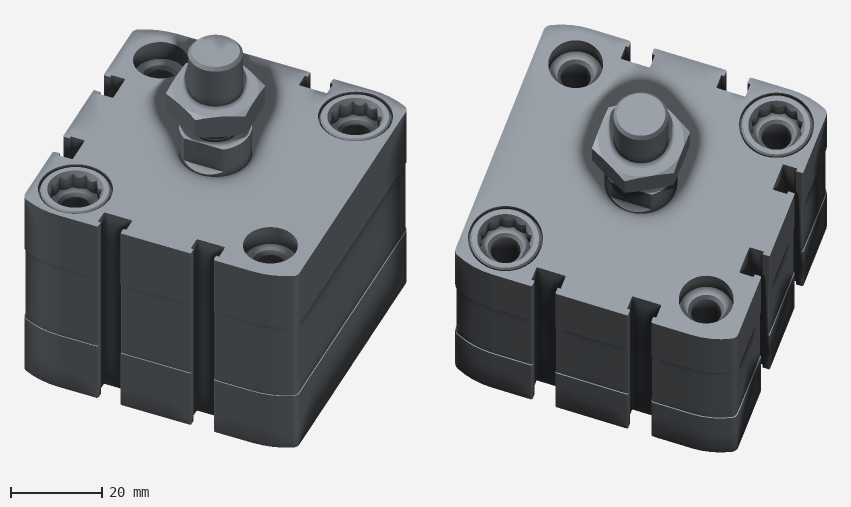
import cadquery as cq
import math

WIDTH = 65.5
CAP_HEIGHT = 15.0
BARREL_HEIGHT = 20.0
BARREL_INSET = 0.2
HOUSING_HEIGHT = 2 * CAP_HEIGHT + BARREL_HEIGHT
TOP_HEIGHT = 79.7

HALF_WIDTH = WIDTH / 2
CORNER_CENTRE_X = 23.2
CORNER_RADIUS = 19.1
CORNER_CENTRE_Y = HALF_WIDTH - CORNER_RADIUS
EDGE_RADIUS = 1.75

SLOT_POSITION = 11.1
SLOT_DEPTH = 4.95
SLOT_WIDTH = 6.8
LIP_DEPTH = 1.6
MOUTH_WIDTH = 5.35
OUTER_MOUTH_ROUND = 0.5
INNER_MOUTH_ROUND = 0.2
SLOT_FLOOR_RADIUS = 0.2

HOLE_POSITION = 23.3
HOLE_DIAMETER = 6.6
HOLE_CHAMFER_DIAMETER = 8
COUNTERBORE_DIAMETER = 12.0
COUNTERBORE_DEPTH = 4.9
COUNTERBORE_CHAMFER_DEPTH = 0.9

GROOVE_OUTER_DIAMETER = 16.4
GROOVE_INNER_DIAMETER = 15.5
GROOVE_DEPTH = 1.6
HEAD_FACE_DIAMETER = 14.7
SOCKET_DEPTH = 4.5
SOCKET_CHAMFER_DEPTH = 0.7
SOCKET_ACROSS_FLATS = 10.1
SOCKET_BORE_DIAMETER = 10.7
SOCKET_MOUTH_DIAMETER = 12.35
SOCKET_MOUTH_HALF_ANGLE = 30

THREAD_DIAMETER = 12.0
TIP_DIAMETER = 10.7
TIP_CHAMFER_HEIGHT = 0.8
SHANK_DIAMETER = 16.0
SHANK_HEIGHT = 7.8
COLLAR_DIAMETER = 10.7
COLLAR_TOP = 8.45
NECK_DIAMETER = 10.2
NECK_TOP = 9.25
TAPER_TOP = 11.8
ROD_HEIGHT = TOP_HEIGHT - HOUSING_HEIGHT
SHANK_ACROSS_FLATS = 13.0
FLAT_BOTTOM = 1.35
FLAT_RUNOUT_BOTTOM = 0.5

NUT_BOTTOM = 12.8
NUT_HEIGHT = 6.0
NUT_ACROSS_FLATS = 19.0
NUT_FACE_DIAMETER = 18.9
NUT_CHAMFER_HEIGHT = 0.5


def hexagon(across_flats, height, turn=0):
    """Hexagonal prism on Z = 0, with a corner on the X axis before turning."""
    prism = cq.Workplane("XY").polygon(6, across_flats / math.cos(math.pi / 6)).extrude(height)
    return prism.rotate((0, 0, 0), (0, 0, 1), turn)


def revolved(points):
    """Solid of revolution about Z from (radius, height) points."""
    return cq.Workplane("XZ").polyline(points).close().revolve(360, (0, 0), (0, 1))


def corner_block(inset, height):
    """Footprint prism: straight sides joined by a large arc and a small blend at each corner."""
    half = HALF_WIDTH - inset
    arc_radius = CORNER_RADIUS - inset
    blend_radius = EDGE_RADIUS - inset
    blend_x = HALF_WIDTH - EDGE_RADIUS
    centre_gap = CORNER_RADIUS - EDGE_RADIUS
    normal = math.acos((blend_x - CORNER_CENTRE_X) / centre_gap)
    blend_y = CORNER_CENTRE_Y + centre_gap * math.sin(normal)
    arc_middle = (normal + math.pi / 2) / 2

    def on_arc(angle):
        return (
            CORNER_CENTRE_X + arc_radius * math.cos(angle),
            CORNER_CENTRE_Y + arc_radius * math.sin(angle),
        )

    def on_blend(angle):
        return (blend_x + blend_radius * math.cos(angle), blend_y + blend_radius * math.sin(angle))

    quarter = (
        cq.Workplane("XY")
        .lineTo(half, 0)
        .lineTo(*on_blend(0))
        .threePointArc(on_blend(normal / 2), on_blend(normal))
        .threePointArc(on_arc(arc_middle), on_arc(math.pi / 2))
        .lineTo(0, half)
        .close()
        .extrude(height)
    )
    right_half = quarter.union(quarter.mirror("XZ"))
    return right_half.union(right_half.mirror("YZ")).clean()


def slot_cutter(inset, height):
    """T-slot open to the +Y side, on the +X side of the centre."""
    face = HALF_WIDTH - inset
    lip = HALF_WIDTH - LIP_DEPTH
    floor = HALF_WIDTH - SLOT_DEPTH
    inner_mouth = SLOT_POSITION - MOUTH_WIDTH / 2
    outer_mouth = SLOT_POSITION + MOUTH_WIDTH / 2
    mid_arc = 1 - math.cos(math.pi / 4)
    inner_sag = INNER_MOUTH_ROUND * mid_arc
    outer_sag = OUTER_MOUTH_ROUND * mid_arc
    mouth = (
        cq.Workplane("XY")
        .moveTo(inner_mouth - INNER_MOUTH_ROUND, face)
        .threePointArc(
            (inner_mouth - inner_sag, face - inner_sag),
            (inner_mouth, face - INNER_MOUTH_ROUND),
        )
        .lineTo(inner_mouth, lip)
        .lineTo(outer_mouth, lip)
        .lineTo(outer_mouth, face - OUTER_MOUTH_ROUND)
        .threePointArc(
            (outer_mouth + outer_sag, face - outer_sag),
            (outer_mouth + OUTER_MOUTH_ROUND, face),
        )
        .close()
        .extrude(height)
    )
    channel = (
        cq.Workplane("XY")
        .moveTo(SLOT_POSITION, (lip + floor) / 2)
        .rect(SLOT_WIDTH, lip - floor)
        .extrude(height)
        .edges("|Z and <Y")
        .fillet(SLOT_FLOOR_RADIUS)
    )
    return mouth.union(channel)


def housing_section(bottom, height, inset):
    """One cap or barrel, with two slots on each of the -X, -Y and +Y sides."""
    section = corner_block(inset, height)
    slot = slot_cutter(inset, height)
    slot_pair = slot.union(slot.mirror("YZ"))
    for turn in (0, 90, 180):
        section = section.cut(slot_pair.rotate((0, 0, 0), (0, 0, 1), turn))
    return section.translate((0, 0, bottom))


def chamfered_hole(floor_depth, chamfer_depth):
    """Through hole with its chamfer starting at the given depth below the top face."""
    radius = HOLE_DIAMETER / 2
    chamfer_radius = HOLE_CHAMFER_DIAMETER / 2
    chamfer_bottom = -floor_depth - chamfer_depth
    return revolved(
        [
            (0, -HOUSING_HEIGHT),
            (radius, -HOUSING_HEIGHT),
            (radius, chamfer_bottom),
            (chamfer_radius, -floor_depth),
            (0, -floor_depth),
        ]
    )


def counterbored_hole():
    """Plain corner hole, measured down from Z = 0."""
    counterbore = cq.Workplane("XY").circle(COUNTERBORE_DIAMETER / 2).extrude(-COUNTERBORE_DEPTH)
    return counterbore.union(chamfered_hole(COUNTERBORE_DEPTH, COUNTERBORE_CHAMFER_DEPTH))


def socket_hole():
    """Hole in a flush screw-head shape: edge groove, lead-in cone and twelve-point socket."""
    head_chamfer = (GROOVE_INNER_DIAMETER - HEAD_FACE_DIAMETER) / 2
    groove = revolved(
        [
            (HEAD_FACE_DIAMETER / 2, 0),
            (GROOVE_INNER_DIAMETER / 2, -head_chamfer),
            (GROOVE_INNER_DIAMETER / 2, -GROOVE_DEPTH),
            (GROOVE_OUTER_DIAMETER / 2, -GROOVE_DEPTH),
            (GROOVE_OUTER_DIAMETER / 2, 0),
        ]
    )
    mouth_radius = SOCKET_MOUTH_DIAMETER / 2
    bore_radius = SOCKET_BORE_DIAMETER / 2
    cone_depth = (mouth_radius - bore_radius) / math.tan(math.radians(SOCKET_MOUTH_HALF_ANGLE))
    bore = revolved(
        [
            (0, 0),
            (mouth_radius, 0),
            (bore_radius, -cone_depth),
            (bore_radius, -SOCKET_DEPTH),
            (0, -SOCKET_DEPTH),
        ]
    )
    points = hexagon(SOCKET_ACROSS_FLATS, -SOCKET_DEPTH).union(
        hexagon(SOCKET_ACROSS_FLATS, -SOCKET_DEPTH, turn=30)
    )
    hole = chamfered_hole(SOCKET_DEPTH, SOCKET_CHAMFER_DEPTH)
    return bore.union(points).union(hole).union(groove)


def make_housing():
    barrel_top = CAP_HEIGHT + BARREL_HEIGHT
    body = housing_section(0, CAP_HEIGHT, 0)
    body = body.union(housing_section(CAP_HEIGHT, BARREL_HEIGHT, BARREL_INSET))
    body = body.union(housing_section(barrel_top, CAP_HEIGHT, 0))
    for side in (-1, 1):
        x = side * HOLE_POSITION
        body = body.cut(counterbored_hole().translate((x, -x, HOUSING_HEIGHT)))
        body = body.cut(socket_hole().translate((x, x, HOUSING_HEIGHT)))
    return body


def shank_flat_cutter():
    """Removes the +Y and -Y sides of the shank, leaving a sloping ledge below each flat."""
    flat = SHANK_ACROSS_FLATS / 2
    surface = SHANK_DIAMETER / 2
    cutter = (
        cq.Workplane("YZ")
        .polyline(
            [
                (flat, FLAT_BOTTOM),
                (surface, FLAT_RUNOUT_BOTTOM),
                (surface, SHANK_HEIGHT),
                (flat, SHANK_HEIGHT),
            ]
        )
        .close()
        .extrude(surface, both=True)
    )
    return cutter.union(cutter.mirror("XZ"))


def make_rod():
    """Rod standing on the housing: shank with flats, collar, neck, taper and thread."""
    rod = revolved(
        [
            (0, 0),
            (SHANK_DIAMETER / 2, 0),
            (SHANK_DIAMETER / 2, SHANK_HEIGHT),
            (COLLAR_DIAMETER / 2, SHANK_HEIGHT),
            (COLLAR_DIAMETER / 2, COLLAR_TOP),
            (NECK_DIAMETER / 2, COLLAR_TOP),
            (NECK_DIAMETER / 2, NECK_TOP),
            (THREAD_DIAMETER / 2, TAPER_TOP),
            (THREAD_DIAMETER / 2, ROD_HEIGHT - TIP_CHAMFER_HEIGHT),
            (TIP_DIAMETER / 2, ROD_HEIGHT),
            (0, ROD_HEIGHT),
        ]
    )
    return rod.cut(shank_flat_cutter()).translate((0, 0, HOUSING_HEIGHT))


def make_nut():
    """Hexagon nut with corners on Y, chamfered at both faces, around the rod thread."""
    corner_radius = NUT_ACROSS_FLATS / 2 / math.cos(math.pi / 6)
    face_radius = NUT_FACE_DIAMETER / 2
    chamfered_disc = revolved(
        [
            (0, 0),
            (face_radius, 0),
            (corner_radius, NUT_CHAMFER_HEIGHT),
            (corner_radius, NUT_HEIGHT - NUT_CHAMFER_HEIGHT),
            (face_radius, NUT_HEIGHT),
            (0, NUT_HEIGHT),
        ]
    )
    bore = cq.Workplane("XY").circle(THREAD_DIAMETER / 2).extrude(NUT_HEIGHT)
    nut = hexagon(NUT_ACROSS_FLATS, NUT_HEIGHT, turn=30).intersect(chamfered_disc).cut(bore)
    return nut.translate((0, 0, HOUSING_HEIGHT + NUT_BOTTOM))


housing = make_housing()
rod = make_rod()
nut = make_nut()

result = cq.Compound.makeCompound([body.solids().val() for body in (housing, rod, nut)])